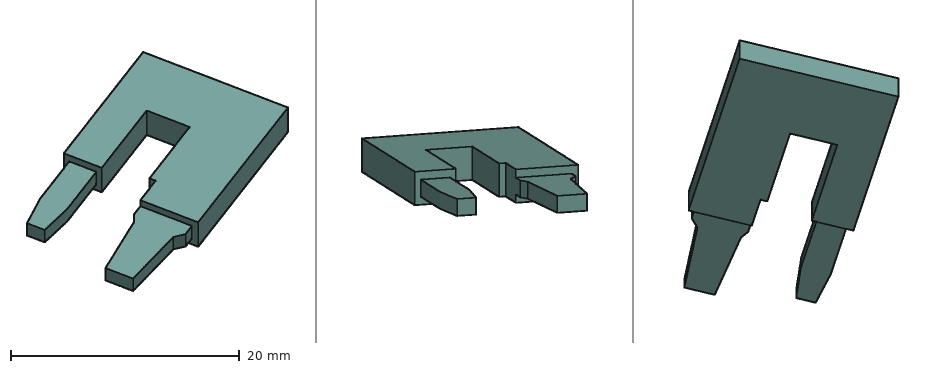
import cadquery as cq

body_width = 14.45
body_thickness = 3.0
total_length = 24.6
left_leg_end = 10.15
right_leg_end = 8.25

gap_left = 3.8
gap_right = 8.07
gap_top = 18.33
step_right = 8.68
step_top = 11.02

prong_thickness = 1.53

left_prong_center = 1.9
left_prong_width = 2.7
left_tip_width = 1.77
left_taper_start = 4.85
left_tip_end = 1.62

right_prong_right = 13.83
shoulder_end = 7.08
blade_left = 9.13
blade_left_start = 6.35
blade_right = 13.06
blade_right_start = 6.25
right_tip_left = 9.72
right_tip_right = 12.47


def centered_plate(points, thickness):
    """Extrude a closed outline equally above and below the XY plane."""
    return cq.Workplane("XY").polyline(points).close().extrude(thickness / 2, both=True)


def make_body():
    return centered_plate(
        [
            (0, total_length),
            (0, left_leg_end),
            (gap_left, left_leg_end),
            (gap_left, gap_top),
            (gap_right, gap_top),
            (gap_right, step_top),
            (step_right, step_top),
            (step_right, right_leg_end),
            (body_width, right_leg_end),
            (body_width, total_length),
        ],
        body_thickness,
    )


def make_left_prong():
    half_width = left_prong_width / 2
    half_tip = left_tip_width / 2
    return centered_plate(
        [
            (left_prong_center - half_width, left_leg_end),
            (left_prong_center - half_width, left_taper_start),
            (left_prong_center - half_tip, left_tip_end),
            (left_prong_center + half_tip, left_tip_end),
            (left_prong_center + half_width, left_taper_start),
            (left_prong_center + half_width, left_leg_end),
        ],
        prong_thickness,
    )


def make_right_prong():
    return centered_plate(
        [
            (step_right, right_leg_end),
            (step_right, shoulder_end),
            (blade_left, blade_left_start),
            (right_tip_left, 0),
            (right_tip_right, 0),
            (blade_right, blade_right_start),
            (right_prong_right, shoulder_end),
            (right_prong_right, right_leg_end),
        ],
        prong_thickness,
    )


result = make_body().union(make_left_prong()).union(make_right_prong())